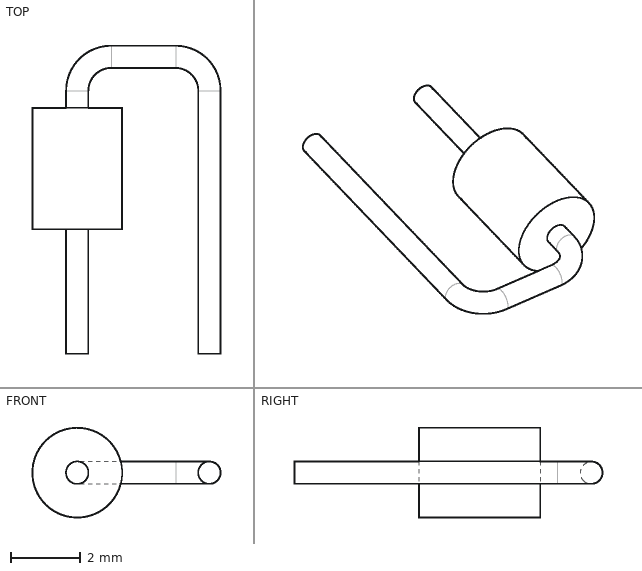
import cadquery as cq

total_length = 8.89
body_diameter = 2.6
body_length = 3.5
front_lead_length = 3.59
wire_diameter = 0.65
lead_spacing = 3.81
bend_radius = 0.98

crown_y = total_length - wire_diameter / 2
bend_start_y = crown_y - bend_radius


def make_wire():
    path = (
        cq.Workplane("XY")
        .lineTo(0, bend_start_y)
        .tangentArcPoint((bend_radius, crown_y), relative=False)
        .lineTo(lead_spacing - bend_radius, crown_y)
        .tangentArcPoint((lead_spacing, bend_start_y), relative=False)
        .lineTo(lead_spacing, 0)
    )
    return cq.Workplane("XZ").circle(wire_diameter / 2).sweep(path)


def make_body():
    return (
        cq.Workplane("XZ", origin=(0, front_lead_length, 0))
        .circle(body_diameter / 2)
        .extrude(-body_length)
    )


result = make_wire().union(make_body())